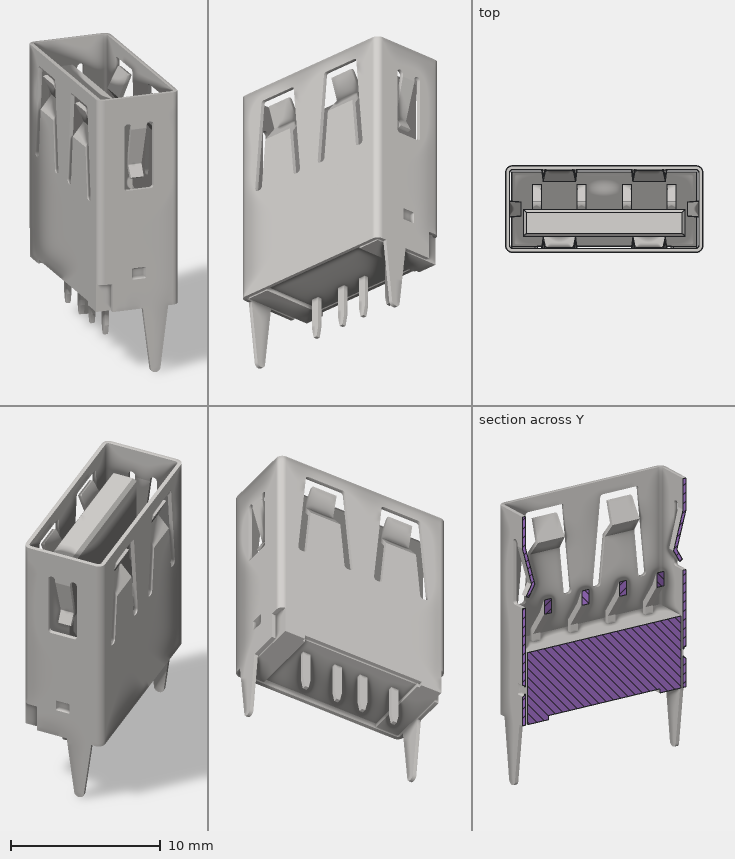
import cadquery as cq
import math

TOTAL_HEIGHT = 19.6
SHELL_WIDTH = 13.2
SHELL_DEPTH = 5.8
SHEET = 0.27
SHELL_CORNER_RADIUS = 0.47
SHELL_BOTTOM = 4.6
FRONT_WALL_BOTTOM = 4.9
HALF_WIDTH = SHELL_WIDTH / 2
HALF_DEPTH = SHELL_DEPTH / 2
INNER_HALF_WIDTH = HALF_WIDTH - SHEET
INNER_HALF_DEPTH = HALF_DEPTH - SHEET

NOTCH_TOP = 6.59
NOTCH_INNER_X = 4.63
NOTCH_BACK_Y = -1.88

SPRING_X = 3.0
SPRING_TIP_HALF_WIDTH = 0.95
SPRING_ROOT_HALF_WIDTH = 1.53
SPRING_SLOT = 0.65
SPRING_SLOT_TOP = 18.6
SPRING_SLOT_BOTTOM = 12.05
SPRING_WINDOW_RADIUS = 0.2
SPRING_SLOT_END_RADIUS = 0.25
SPRING_BEND_Z = 15.62
SPRING_FOLD_Z = 16.62
SPRING_FOLD_INSET = 0.75
SPRING_TIP_Z = 18.03
SPRING_TIP_ANGLE = 25.0
SPRING_TIP_RADIUS = 0.15

CLIP_WINDOW_HALF_WIDTH = 1.04
CLIP_WINDOW_TOP = 17.74
CLIP_WINDOW_BOTTOM = 13.03
CLIP_WINDOW_RADIUS = 0.2
CLIP_ROOT_HALF_WIDTH = 0.55
CLIP_TIP_HALF_WIDTH = 0.45
CLIP_BEND_Z = 17.33
CLIP_FOLD_Z = 14.6
CLIP_ANGLE = 15.3
CLIP_LIP_ANGLE = 30.0
CLIP_LIP_HEIGHT = 0.78
CLIP_BEND_RADIUS = 0.27
CLIP_FOLD_RADIUS = 0.05

RECESS_WIDTH = 1.0
RECESS_HEIGHT = 0.8
RECESS_Z = 7.11
RECESS_DEPTH = 0.2
RECESS_CORNER_RADIUS = 0.08
RECESS_FLOOR_RADIUS = 0.18

ALMOST_HALF = 0.499

LEG_Y = 1.2
LEG_ROOT_HALF_WIDTH = 0.9
LEG_TIP_HALF_WIDTH = 0.31
LEG_TIP_RADIUS = 0.33

BASE_CLEARANCE = 0.14
BASE_HALF_WIDTH = INNER_HALF_WIDTH - BASE_CLEARANCE
BASE_HALF_DEPTH = INNER_HALF_DEPTH - BASE_CLEARANCE
BASE_TOP = 9.8
FOOT_INNER_X = 4.45
TONGUE_HALF_WIDTH = 5.4
TONGUE_BACK_Y = -0.02
TONGUE_FRONT_Y = -1.82
TONGUE_TOP = 18.13
TONGUE_CHAMFER_HEIGHT = 0.31
TONGUE_CHAMFER_INSET = 0.2

CONTACT_WIDTH = 0.6
CONTACT_POSITIONS = (-4.5, -1.5, 1.5, 4.5)
CONTACT_SHEET = 0.3
CONTACT_START_Z = 13.33
CONTACT_UPPER_RUN = 0.5
CONTACT_LOWER_RUN = 1.14
CONTACT_UPPER_DROP = 1.08
CONTACT_LOWER_DROP = 1.57

PIN_POSITIONS = (-3.49, -1.0, 1.0, 3.49)
PIN_WIDTH = 0.59
PIN_THICKNESS = 0.3
PIN_Y = -1.22
PIN_BOTTOM = 2.02
PIN_TAPER = 0.69
PIN_TIP_WIDTH = 0.27


def box(x_range, y_range, z_range):
    """Block between the given limits on each axis."""
    size = [high - low for low, high in (x_range, y_range, z_range)]
    corner = (x_range[0], y_range[0], z_range[0])
    return cq.Workplane("XY").box(*size, centered=False).translate(corner)


def trapezoid(plane, bottom_half, top_half, bottom, top):
    """Symmetric trapezoid about the vertical axis, drawn on the given plane."""
    points = [(-bottom_half, bottom), (bottom_half, bottom), (top_half, top), (-top_half, top)]
    return cq.Workplane(plane).polyline(points).close()


def sheet_profile(outer):
    """Outline of a bent sheet: the outer-face points, then those points set inward by SHEET."""
    normals = []
    for (x0, z0), (x1, z1) in zip(outer, outer[1:]):
        length = math.hypot(x1 - x0, z1 - z0)
        normals.append((abs(z1 - z0) / length, -(x1 - x0) / length * math.copysign(1, z1 - z0)))
    joints = [normals[0], *normals, normals[-1]]
    inner = []
    for (x, z), before, after in zip(outer, joints, joints[1:]):
        scale = SHEET / (1 + before[0] * after[0] + before[1] * after[1])
        inner.append((x + scale * (before[0] + after[0]), z + scale * (before[1] + after[1])))
    return [*outer, *reversed(inner)]


def mirror_pair(part, plane):
    """The part together with its mirror image."""
    return part.union(part.mirror(plane))


def sleeve():
    """Rectangular tube with rounded corners."""
    height = TOTAL_HEIGHT - SHELL_BOTTOM
    start = cq.Workplane("XY").workplane(offset=SHELL_BOTTOM)
    outside = start.rect(SHELL_WIDTH, SHELL_DEPTH).extrude(height)
    outside = outside.edges("|Z").fillet(SHELL_CORNER_RADIUS)
    inside = start.rect(2 * INNER_HALF_WIDTH, 2 * INNER_HALF_DEPTH).extrude(height)
    inside = inside.edges("|Z").fillet(SHELL_CORNER_RADIUS - SHEET)
    return outside.cut(inside)


def spring_half_width(z):
    """Half width of a spring at height z; its two edges lean toward each other."""
    taper = (SPRING_ROOT_HALF_WIDTH - SPRING_TIP_HALF_WIDTH) / (SPRING_TIP_Z - SPRING_SLOT_BOTTOM)
    return SPRING_ROOT_HALF_WIDTH - taper * (z - SPRING_SLOT_BOTTOM)


def spring_window():
    """Cutter for the opening around one front spring, up to where the spring starts to bend."""
    top_half = spring_half_width(SPRING_SLOT_TOP) + SPRING_SLOT
    bottom_half = SPRING_ROOT_HALF_WIDTH + SPRING_SLOT
    outer = trapezoid("XZ", bottom_half, top_half, SPRING_SLOT_BOTTOM, SPRING_SLOT_TOP).extrude(HALF_DEPTH)
    outer = outer.edges("|Y and >Z").fillet(SPRING_WINDOW_RADIUS)
    kept = trapezoid(
        "XZ", SPRING_ROOT_HALF_WIDTH, spring_half_width(SPRING_BEND_Z), SPRING_SLOT_BOTTOM, SPRING_BEND_Z
    ).extrude(HALF_DEPTH)
    return outer.cut(kept).edges("|Y and <Z").fillet(SPRING_SLOT_END_RADIUS)


def spring():
    """Bent free end of one front spring: in to the fold, then out again to the tip."""
    tip_run = (SPRING_TIP_Z - SPRING_FOLD_Z) * math.tan(math.radians(SPRING_TIP_ANGLE))
    fold_y = -HALF_DEPTH + SPRING_FOLD_INSET
    outer_face = [
        (-HALF_DEPTH, SPRING_BEND_Z - SHEET),
        (-HALF_DEPTH, SPRING_BEND_Z),
        (fold_y, SPRING_FOLD_Z),
        (fold_y - tip_run, SPRING_TIP_Z),
    ]
    strip = cq.Workplane("YZ").polyline(sheet_profile(outer_face)).close()
    strip = strip.extrude(SPRING_ROOT_HALF_WIDTH, both=True)
    tip_top = SPRING_TIP_Z + SHEET * math.sin(math.radians(SPRING_TIP_ANGLE))
    outline = trapezoid(
        "XZ", SPRING_ROOT_HALF_WIDTH, spring_half_width(tip_top), SPRING_SLOT_BOTTOM, tip_top
    ).extrude(HALF_DEPTH)
    outline = outline.edges("|Y and >Z").fillet(SPRING_TIP_RADIUS)
    return strip.intersect(outline)


def clip_window():
    """Cutter for the opening around the clip in the left wall."""
    outer = box(
        (-HALF_WIDTH, -INNER_HALF_WIDTH),
        (-CLIP_WINDOW_HALF_WIDTH, CLIP_WINDOW_HALF_WIDTH),
        (CLIP_WINDOW_BOTTOM, CLIP_WINDOW_TOP),
    )
    outer = outer.edges("|X and <Z").fillet(CLIP_WINDOW_RADIUS)
    root = box(
        (-HALF_WIDTH, -INNER_HALF_WIDTH),
        (-CLIP_ROOT_HALF_WIDTH, CLIP_ROOT_HALF_WIDTH),
        (CLIP_BEND_Z, CLIP_WINDOW_TOP),
    )
    slot_width = CLIP_WINDOW_HALF_WIDTH - CLIP_ROOT_HALF_WIDTH
    return outer.cut(root).edges("|X and >Z").fillet(ALMOST_HALF * slot_width)


def clip():
    """Left clip: leans in from its root to the fold, then its lip turns back out."""
    fold_x = -HALF_WIDTH + (CLIP_BEND_Z - CLIP_FOLD_Z) * math.tan(math.radians(CLIP_ANGLE))
    lip_bottom = CLIP_FOLD_Z - CLIP_LIP_HEIGHT
    lip_run = CLIP_LIP_HEIGHT * math.tan(math.radians(CLIP_LIP_ANGLE))
    outer_face = [
        (-HALF_WIDTH, CLIP_WINDOW_TOP),
        (-HALF_WIDTH, CLIP_BEND_Z),
        (fold_x, CLIP_FOLD_Z),
        (fold_x - lip_run, lip_bottom),
    ]
    strip = cq.Workplane("XZ").polyline(sheet_profile(outer_face)).close()
    strip = strip.extrude(CLIP_ROOT_HALF_WIDTH, both=True)
    strip = strip.edges(cq.NearestToPointSelector((-HALF_WIDTH, 0, CLIP_BEND_Z))).fillet(CLIP_BEND_RADIUS)
    strip = strip.edges(cq.NearestToPointSelector((fold_x, 0, CLIP_FOLD_Z))).fillet(CLIP_FOLD_RADIUS)
    outline = trapezoid(
        "YZ", CLIP_TIP_HALF_WIDTH, CLIP_ROOT_HALF_WIDTH, lip_bottom - SHEET, CLIP_WINDOW_TOP
    ).extrude(-HALF_WIDTH)
    return strip.intersect(outline)


def wall_recess():
    """Cutter for the pressed recess in the left wall, rounded where its walls meet its floor."""
    recess = box(
        (-HALF_WIDTH, -HALF_WIDTH + RECESS_DEPTH),
        (-RECESS_WIDTH / 2, RECESS_WIDTH / 2),
        (RECESS_Z - RECESS_HEIGHT / 2, RECESS_Z + RECESS_HEIGHT / 2),
    )
    return recess.edges("|X").fillet(RECESS_CORNER_RADIUS).faces(">X").edges().fillet(RECESS_FLOOR_RADIUS)


def leg():
    """Tapered left leg with a rounded tip."""
    outline = trapezoid("YZ", LEG_TIP_HALF_WIDTH, LEG_ROOT_HALF_WIDTH, 0, SHELL_BOTTOM)
    blade = outline.extrude(SHEET).edges("|X and <Z").fillet(LEG_TIP_RADIUS)
    return blade.translate((-HALF_WIDTH, LEG_Y, 0))


def corner_notch():
    """Cutter for the left front bottom corner of the shell."""
    return box((-HALF_WIDTH, -NOTCH_INNER_X), (-HALF_DEPTH, NOTCH_BACK_Y), (SHELL_BOTTOM, NOTCH_TOP))


def make_shell():
    front_trim = box(
        (-NOTCH_INNER_X, NOTCH_INNER_X), (-HALF_DEPTH, -INNER_HALF_DEPTH), (SHELL_BOTTOM, FRONT_WALL_BOTTOM)
    )
    shell = sleeve().cut(front_trim)
    for cutter in (corner_notch(), clip_window(), wall_recess()):
        shell = shell.cut(mirror_pair(cutter, "YZ"))
    for x in (-SPRING_X, SPRING_X):
        shell = shell.cut(mirror_pair(spring_window().translate((x, 0, 0)), "XZ"))
        shell = shell.union(mirror_pair(spring().translate((x, 0, 0)), "XZ"))
    for part in (clip(), leg()):
        shell = shell.union(mirror_pair(part, "YZ"))
    return shell


def tongue():
    """Flat tongue with a bevelled top rim."""
    depth = TONGUE_BACK_Y - TONGUE_FRONT_Y
    shoulder = TONGUE_TOP - TONGUE_CHAMFER_HEIGHT
    body = box((-TONGUE_HALF_WIDTH, TONGUE_HALF_WIDTH), (TONGUE_FRONT_Y, TONGUE_BACK_Y), (BASE_TOP, shoulder))
    rim_taper = math.degrees(math.atan(TONGUE_CHAMFER_INSET / TONGUE_CHAMFER_HEIGHT))
    rim = body.faces(">Z").workplane(centerOption="CenterOfBoundBox")
    return rim.rect(2 * TONGUE_HALF_WIDTH, depth).extrude(TONGUE_CHAMFER_HEIGHT, taper=rim_taper)


def foot():
    """Left front foot: a pad flush with the shell's front wall, and a low toe behind that wall."""
    pad = box((-BASE_HALF_WIDTH, -NOTCH_INNER_X), (-HALF_DEPTH, -BASE_HALF_DEPTH), (SHELL_BOTTOM, NOTCH_TOP))
    toe = box(
        (-BASE_HALF_WIDTH, -FOOT_INNER_X),
        (-INNER_HALF_DEPTH, -BASE_HALF_DEPTH),
        (SHELL_BOTTOM, FRONT_WALL_BOTTOM),
    )
    return pad.union(toe)


def make_housing():
    base = box(
        (-BASE_HALF_WIDTH, BASE_HALF_WIDTH), (-BASE_HALF_DEPTH, BASE_HALF_DEPTH), (SHELL_BOTTOM, BASE_TOP)
    )
    underside = box(
        (-FOOT_INNER_X, FOOT_INNER_X), (-BASE_HALF_DEPTH, BASE_HALF_DEPTH), (SHELL_BOTTOM, FRONT_WALL_BOTTOM)
    )
    return base.cut(underside).union(tongue()).union(mirror_pair(foot(), "YZ"))


def make_contact(x):
    """Bent strip: slopes away from the back of the tongue in two stages, then stands on the base."""
    bend_y = TONGUE_BACK_Y + CONTACT_UPPER_RUN
    bend_z = CONTACT_START_Z - CONTACT_UPPER_DROP
    end_y = bend_y + CONTACT_LOWER_RUN
    end_z = bend_z - CONTACT_LOWER_DROP
    outline = [
        (TONGUE_BACK_Y, CONTACT_START_Z),
        (bend_y, bend_z),
        (end_y, end_z),
        (end_y, BASE_TOP),
        (end_y - CONTACT_SHEET, BASE_TOP),
        (end_y - CONTACT_SHEET, end_z - CONTACT_SHEET),
        (bend_y - CONTACT_SHEET, bend_z - CONTACT_SHEET),
        (TONGUE_BACK_Y, bend_z),
    ]
    strip = cq.Workplane("YZ").polyline(outline).close().extrude(CONTACT_WIDTH / 2, both=True)
    return strip.translate((x, 0, 0))


def make_pin(x):
    """Flat solder pin with a tapered tip, standing against the recessed underside of the base."""
    shank = box(
        (-PIN_WIDTH / 2, PIN_WIDTH / 2),
        (-PIN_THICKNESS / 2, PIN_THICKNESS / 2),
        (PIN_BOTTOM + PIN_TAPER, FRONT_WALL_BOTTOM),
    )
    tip = trapezoid("XZ", PIN_TIP_WIDTH / 2, PIN_WIDTH / 2, PIN_BOTTOM, PIN_BOTTOM + PIN_TAPER)
    tip = tip.extrude(PIN_THICKNESS / 2, both=True)
    return shank.union(tip).translate((x, PIN_Y, 0))


shell = make_shell()
housing = make_housing()
contacts = [make_contact(x) for x in CONTACT_POSITIONS]
pins = [make_pin(x) for x in PIN_POSITIONS]

result = cq.Compound.makeCompound(
    [part.solids().val() for part in (shell, housing, *contacts, *pins)]
)